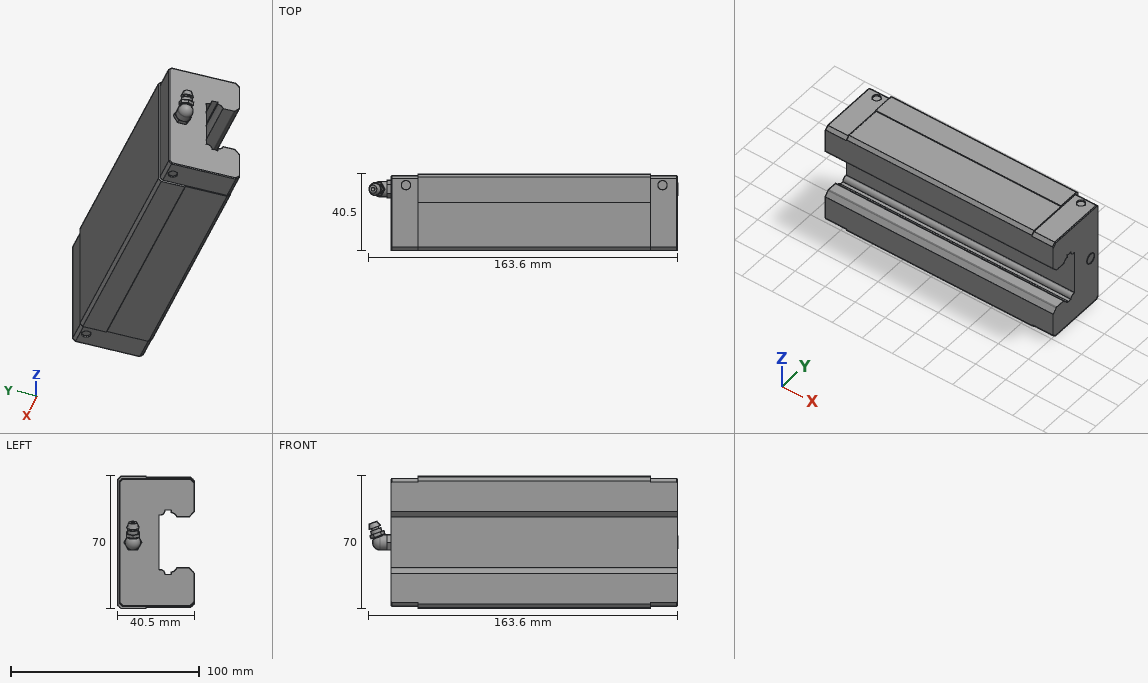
import cadquery as cq
import math

OVERALL_LENGTH = 163.6

BLOCK_LENGTH = 123.2
BLOCK_HEIGHT = 40.5
BLOCK_HALF_WIDTH = 35.0
FLANK_RELIEF = 0.5
FLANK_RELIEF_HEIGHT = 25.5
BLOCK_BOTTOM_CHAMFER = 2.0
BLOCK_TOP_CHAMFER = 1.6

CAP_LENGTH = 14.2
CAP_HEIGHT = 39.8
CAP_HALF_WIDTH = 33.9
CAP_BOTTOM_CHAMFER = 2.0
CAP_TOP_CHAMFER = 1.6
CAP_END_CHAMFER = 0.5
CAP_END_X = BLOCK_LENGTH / 2 + CAP_LENGTH

CHANNEL_DEPTH = 18.7
FLOOR_HALF_WIDTH = 14.4
GROOVE_HALF_WIDTH = 17.0
NECK_HALF_WIDTH = 13.4
MOUTH_HALF_WIDTH = 16.4
MOUTH_DEPTH = 2.8
MOUTH_EDGE_RADIUS = 0.7
FLOOR_LEDGE = 0.5
BEAD_RADIUS = GROOVE_HALF_WIDTH - FLOOR_HALF_WIDTH
SHOULDER_START = 9.3
SHOULDER_END = 12.3
SHOULDER_RISE = 2.3
SHOULDER_BULGE = 0.57

SIDE_HOLE_DIAMETER = 4.9
SIDE_HOLE_DEPTH = 1.0
SIDE_HOLE_X = 67.9
SIDE_HOLE_Y = 34.7

PORT_Y = 32.5
PLUG_DIAMETER = 6.5
PLUG_THICKNESS = 0.3

ELBOW_RADIUS = 4.1
ELBOW_HEX_LENGTH = 2.0
NIPPLE_TILT = 20.0
NIPPLE_HEX_FLATS = 6.9
NIPPLE_HEX_BASE = 3.5
NIPPLE_HEX_TOP = 5.2
COLLAR_RADIUS = 3.0
COLLAR_TOP = 7.2
NECK_RADIUS = 2.0
HEAD_BASE = 8.3
HEAD_TOP = 11.1
HEAD_BASE_RADIUS = 3.3
HEAD_TOP_RADIUS = 2.1
DIMPLE_RADIUS = 1.0

HEX_CORNER_RATIO = 2 / math.sqrt(3)


def extrude_along_x(outline, x_start, length):
    """Extrude a closed (Y, Z) outline from x_start towards +X."""
    return cq.Workplane("YZ", origin=(x_start, 0, 0)).polyline(outline).close().extrude(length)


def mirrored(upper_points):
    """Close a half outline (Z > 0) with its mirror image across Z = 0."""
    return upper_points + [(y, -z) for y, z in reversed(upper_points)]


def make_block():
    flank = BLOCK_HALF_WIDTH - FLANK_RELIEF
    outline = mirrored([
        (0, flank - BLOCK_BOTTOM_CHAMFER),
        (BLOCK_BOTTOM_CHAMFER, flank),
        (FLANK_RELIEF_HEIGHT, flank),
        (FLANK_RELIEF_HEIGHT, BLOCK_HALF_WIDTH),
        (BLOCK_HEIGHT - BLOCK_TOP_CHAMFER, BLOCK_HALF_WIDTH),
        (BLOCK_HEIGHT, BLOCK_HALF_WIDTH - BLOCK_TOP_CHAMFER),
    ])
    return extrude_along_x(outline, -BLOCK_LENGTH / 2, BLOCK_LENGTH)


def make_cap(side):
    """End cap on the +X (side = 1) or -X (side = -1) end, with its outer rim chamfered."""
    outline = mirrored([
        (0, CAP_HALF_WIDTH - CAP_BOTTOM_CHAMFER),
        (CAP_BOTTOM_CHAMFER, CAP_HALF_WIDTH),
        (CAP_HEIGHT - CAP_TOP_CHAMFER, CAP_HALF_WIDTH),
        (CAP_HEIGHT, CAP_HALF_WIDTH - CAP_TOP_CHAMFER),
    ])
    x_start = min(side * CAP_END_X, side * BLOCK_LENGTH / 2)
    cap = extrude_along_x(outline, x_start, CAP_LENGTH)
    rim = cap.faces(">X" if side > 0 else "<X").edges(cq.selectors.BoxSelector(
        (-2 * CAP_END_X, CAP_END_CHAMFER, -BLOCK_HALF_WIDTH),
        (2 * CAP_END_X, BLOCK_HEIGHT, BLOCK_HALF_WIDTH)))
    cap = rim.chamfer(CAP_END_CHAMFER)

    hole = (
        cq.Workplane("XY", origin=(side * SIDE_HOLE_X, SIDE_HOLE_Y, CAP_HALF_WIDTH))
        .circle(SIDE_HOLE_DIAMETER / 2)
        .extrude(-SIDE_HOLE_DEPTH)
    )
    return cap.cut(hole).cut(hole.mirror("XY"))


def make_channel():
    """Rail channel: chamfered mouth, neck, groove between two rounded edges, and flat floor."""
    diagonal = math.sqrt(0.5)
    bead_root_y = CHANNEL_DEPTH - FLOOR_LEDGE
    bead_mid = (bead_root_y - BEAD_RADIUS * diagonal, GROOVE_HALF_WIDTH - BEAD_RADIUS * diagonal)

    half = (
        cq.Workplane("YZ", origin=(-CAP_END_X, 0, 0))
        .lineTo(0, MOUTH_HALF_WIDTH)
        .lineTo(MOUTH_DEPTH, NECK_HALF_WIDTH)
        .lineTo(SHOULDER_START, NECK_HALF_WIDTH)
        .sagittaArc((SHOULDER_END, NECK_HALF_WIDTH + SHOULDER_RISE), SHOULDER_BULGE)
        .lineTo(SHOULDER_END, GROOVE_HALF_WIDTH)
        .lineTo(bead_root_y - BEAD_RADIUS, GROOVE_HALF_WIDTH)
        .threePointArc(bead_mid, (bead_root_y, FLOOR_HALF_WIDTH))
        .lineTo(CHANNEL_DEPTH, FLOOR_HALF_WIDTH)
        .lineTo(CHANNEL_DEPTH, 0)
        .close()
        .extrude(2 * CAP_END_X)
    )
    mouth_edge = cq.selectors.NearestToPointSelector((0, MOUTH_DEPTH, NECK_HALF_WIDTH))
    half = half.edges("|X").edges(mouth_edge).fillet(MOUTH_EDGE_RADIUS)
    return half.union(half.mirror("XY"))


def make_plug():
    return (
        cq.Workplane("YZ", origin=(CAP_END_X, PORT_Y, 0))
        .circle(PLUG_DIAMETER / 2)
        .extrude(PLUG_THICKNESS)
    )


def make_elbow(elbow_x):
    """Hexagon against the cap, then a round barrel ending in a ball centred at elbow_x."""
    hexagon = (
        cq.Workplane("YZ", origin=(-CAP_END_X, PORT_Y, 0))
        .polygon(6, 2 * ELBOW_RADIUS * HEX_CORNER_RATIO)
        .extrude(-ELBOW_HEX_LENGTH)
    )
    barrel = (
        cq.Workplane("YZ", origin=(-CAP_END_X, PORT_Y, 0))
        .circle(ELBOW_RADIUS)
        .extrude(elbow_x + CAP_END_X)
    )
    ball = cq.Workplane("XY", origin=(elbow_x, PORT_Y, 0)).sphere(ELBOW_RADIUS)
    return hexagon.union(barrel).union(ball)


def make_nipple(elbow_x):
    """Nipple with hexagon, collar, neck and tapered head, leaning from Z towards -X."""
    stem = (
        cq.Workplane("XZ")
        .lineTo(COLLAR_RADIUS, 0)
        .lineTo(COLLAR_RADIUS, COLLAR_TOP)
        .lineTo(NECK_RADIUS, COLLAR_TOP)
        .lineTo(NECK_RADIUS, HEAD_BASE)
        .lineTo(HEAD_BASE_RADIUS, HEAD_BASE)
        .lineTo(HEAD_TOP_RADIUS, HEAD_TOP)
        .lineTo(0, HEAD_TOP)
        .close()
        .revolve(360, (0, 0, 0), (0, 1, 0))
    )
    hexagon = (
        cq.Workplane("XY", origin=(0, 0, NIPPLE_HEX_BASE))
        .polygon(6, NIPPLE_HEX_FLATS * HEX_CORNER_RATIO)
        .extrude(NIPPLE_HEX_TOP - NIPPLE_HEX_BASE)
    )
    dimple = cq.Workplane("XY", origin=(0, 0, HEAD_TOP)).sphere(DIMPLE_RADIUS)
    nipple = stem.union(hexagon).cut(dimple)
    return nipple.rotate((0, 0, 0), (0, 1, 0), -NIPPLE_TILT).translate((elbow_x, PORT_Y, 0))


tilt = math.radians(NIPPLE_TILT)
head_reach = HEAD_BASE * math.sin(tilt) + HEAD_BASE_RADIUS * math.cos(tilt)
elbow_x = CAP_END_X + PLUG_THICKNESS - OVERALL_LENGTH + head_reach

carriage = make_block().union(make_cap(1)).union(make_cap(-1)).cut(make_channel())
result = carriage.union(make_plug()).union(make_elbow(elbow_x)).union(make_nipple(elbow_x))